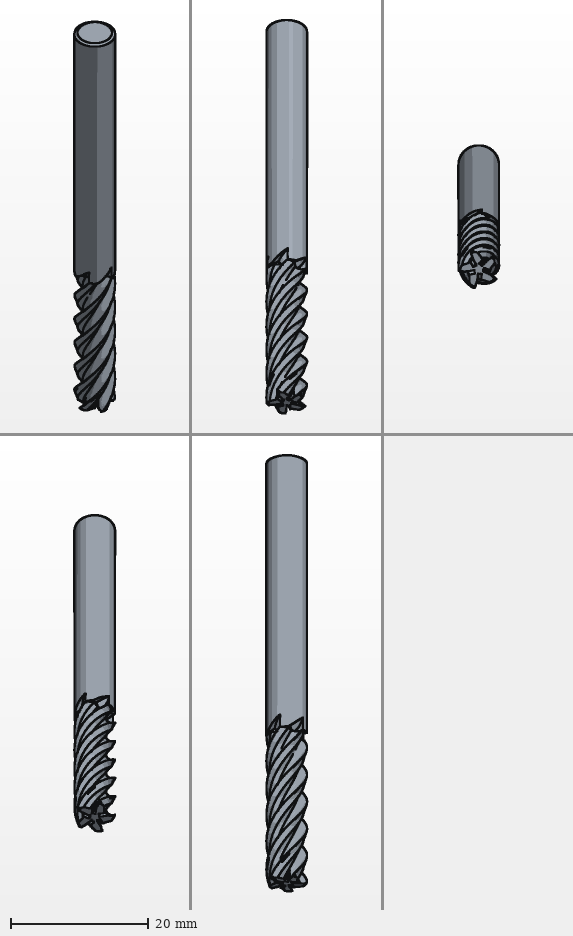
import cadquery as cq
import math

TOTAL_LENGTH = 68.0
RADIUS = 3.0
CUT_LENGTH = 24.0
RUNOUT_LENGTH = 2.0
SHANK_CHAMFER_WIDTH = 0.5
SHANK_CHAMFER_HEIGHT = 0.3
CORNER_CHAMFER = 0.35

FLUTE_COUNT = 5
FLUTE_SPACING = 4.35
LEAD = FLUTE_COUNT * FLUTE_SPACING
TOOTH_PITCH = 360 / FLUTE_COUNT
SHANK_EDGE_ANGLE = 57.0
CUTTER_TWIST = 360 * CUT_LENGTH / LEAD
START_ANGLE = SHANK_EDGE_ANGLE - CUTTER_TWIST

LAND_END_ANGLE = 7.0
LAND_END_RADIUS = 2.85
HEEL_ANGLE = 25.0
HEEL_RADIUS = 2.5
FLOOR_ANGLE = 42.0
FLOOR_RADIUS = 1.8
ROOT_ANGLE = 60.0
ROOT_RADIUS = 1.7
OUTSIDE_RADIUS = 4.1

GASH_HEIGHT = 1.35
GASH_WIDTH = 0.55
GASH_INNER_RADIUS = 0.7


def polar(radius, angle):
    """Point in the section plane at a radius and an angle in degrees."""
    turn = math.radians(angle)
    return radius * math.cos(turn), radius * math.sin(turn)


def fluted_bar():
    """Twisted bar with the tooth section."""
    section = cq.Workplane("XY").moveTo(*polar(RADIUS, START_ANGLE))
    for tooth in range(FLUTE_COUNT):
        edge = START_ANGLE + tooth * TOOTH_PITCH
        section = (
            section
            .lineTo(*polar(LAND_END_RADIUS, edge + LAND_END_ANGLE))
            .lineTo(*polar(HEEL_RADIUS, edge + HEEL_ANGLE))
            .lineTo(*polar(FLOOR_RADIUS, edge + FLOOR_ANGLE))
            .threePointArc(
                polar(ROOT_RADIUS, edge + ROOT_ANGLE),
                polar(RADIUS, edge + TOOTH_PITCH),
            )
        )
    return section.close().twistExtrude(CUT_LENGTH, CUTTER_TWIST)


def end_corner():
    """Ring that chamfers the corner of the cutting end."""
    outer_radius = RADIUS + CORNER_CHAMFER
    return (
        cq.Workplane("XZ")
        .polyline([
            (RADIUS - CORNER_CHAMFER, 0),
            (outer_radius, 0),
            (outer_radius, 2 * CORNER_CHAMFER),
        ])
        .close().revolve(360, (0, 0), (0, 1))
    )


def end_gash(edge_angle):
    """Wedge along one end tooth, deepest at its cutting edge."""
    return (
        cq.Workplane("YZ").workplane(offset=GASH_INNER_RADIUS)
        .polyline([(0, 0), (0, GASH_HEIGHT), (-GASH_WIDTH, 0)]).close()
        .extrude(RADIUS)
        .rotate((0, 0, 0), (0, 0, 1), edge_angle)
    )


def make_cutter():
    cutter = fluted_bar().cut(end_corner(), clean=False)
    for tooth in range(FLUTE_COUNT):
        cutter = cutter.cut(end_gash(START_ANGLE + tooth * TOOTH_PITCH), clean=False)
    return cutter


def runout_core():
    """Cone on which the flute floors rise to the shank surface."""
    end_radius = 2 * OUTSIDE_RADIUS
    slope = (RADIUS - ROOT_RADIUS) / RUNOUT_LENGTH
    height = (end_radius - ROOT_RADIUS) / slope
    return cq.Workplane("XY").add(
        cq.Solid.makeCone(
            ROOT_RADIUS, end_radius, height, cq.Vector(0, 0, CUT_LENGTH)
        )
    )


def runout_slope(edge):
    """Triangular prism, pointing outwards, that narrows one runout towards the rake face."""
    middle_angle = (HEEL_ANGLE + TOOTH_PITCH) / 2
    half_width = RADIUS * math.sin(math.radians(TOOTH_PITCH - middle_angle))
    far_side = 3 * half_width
    return (
        cq.Workplane("YZ")
        .polyline([
            (-half_width, CUT_LENGTH),
            (far_side, CUT_LENGTH),
            (far_side, CUT_LENGTH + 2 * RUNOUT_LENGTH),
        ])
        .close().extrude(2 * OUTSIDE_RADIUS)
        .rotate((0, 0, 0), (0, 0, 1), edge + middle_angle)
    )


def flute_runout(edge):
    """Tool that continues one gullet straight into the shank and fades out on the cone."""
    gullet = (
        cq.Workplane("XY").workplane(offset=CUT_LENGTH)
        .moveTo(*polar(OUTSIDE_RADIUS, edge + HEEL_ANGLE))
        .lineTo(*polar(HEEL_RADIUS, edge + HEEL_ANGLE))
        .lineTo(*polar(FLOOR_RADIUS, edge + FLOOR_ANGLE))
        .threePointArc(
            polar(ROOT_RADIUS, edge + ROOT_ANGLE),
            polar(RADIUS, edge + TOOTH_PITCH),
        )
        .lineTo(*polar(OUTSIDE_RADIUS, edge + TOOTH_PITCH))
        .close()
        .extrude(2 * RUNOUT_LENGTH)
    )
    return gullet.intersect(runout_slope(edge)).cut(runout_core())


def make_shank():
    """Plain round shank, chamfered on top, with the flute runouts at the bottom."""
    chamfer_bottom = TOTAL_LENGTH - SHANK_CHAMFER_HEIGHT
    shank = (
        cq.Workplane("XZ")
        .polyline([
            (0, CUT_LENGTH),
            (RADIUS, CUT_LENGTH),
            (RADIUS, chamfer_bottom),
            (RADIUS - SHANK_CHAMFER_WIDTH, TOTAL_LENGTH),
            (0, TOTAL_LENGTH),
        ])
        .close().revolve(360, (0, 0), (0, 1))
    )
    for tooth in range(FLUTE_COUNT):
        edge = SHANK_EDGE_ANGLE + tooth * TOOTH_PITCH
        shank = shank.cut(flute_runout(edge), clean=False)
    return shank


cutter = make_cutter()
shank = make_shank()
result = cq.Compound.makeCompound([*cutter.solids().vals(), *shank.solids().vals()])